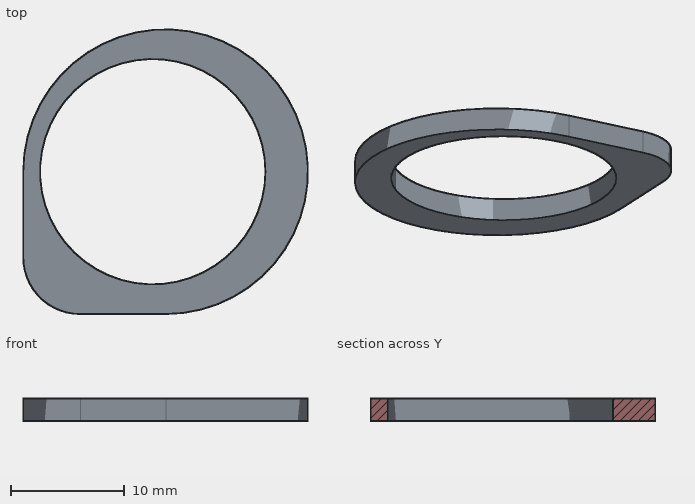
import cadquery as cq

outer_diameter = 25.0
thickness = 2.0
corner_radius = 5.0
thin_wall = 1.5
thick_wall = 3.75

outer_radius = outer_diameter / 2
hole_diameter = outer_diameter - thin_wall - thick_wall
hole_center_x = (thin_wall - thick_wall) / 2


def make_body():
    """Disc centred on the Z axis, with one quadrant filled out to a rounded square corner."""
    disc = cq.Workplane("XY").circle(outer_radius).extrude(thickness)
    corner = (
        cq.Workplane("XY")
        .rect(-outer_radius, -outer_radius, centered=False)
        .extrude(thickness)
        .edges("|Z and <X and <Y")
        .fillet(corner_radius)
    )
    return disc.union(corner)


def make_hole():
    """Round through hole, shifted towards -X so that the ring is thinner there."""
    return (
        cq.Workplane("XY")
        .center(hole_center_x, 0)
        .circle(hole_diameter / 2)
        .extrude(thickness)
    )


result = make_body().cut(make_hole())